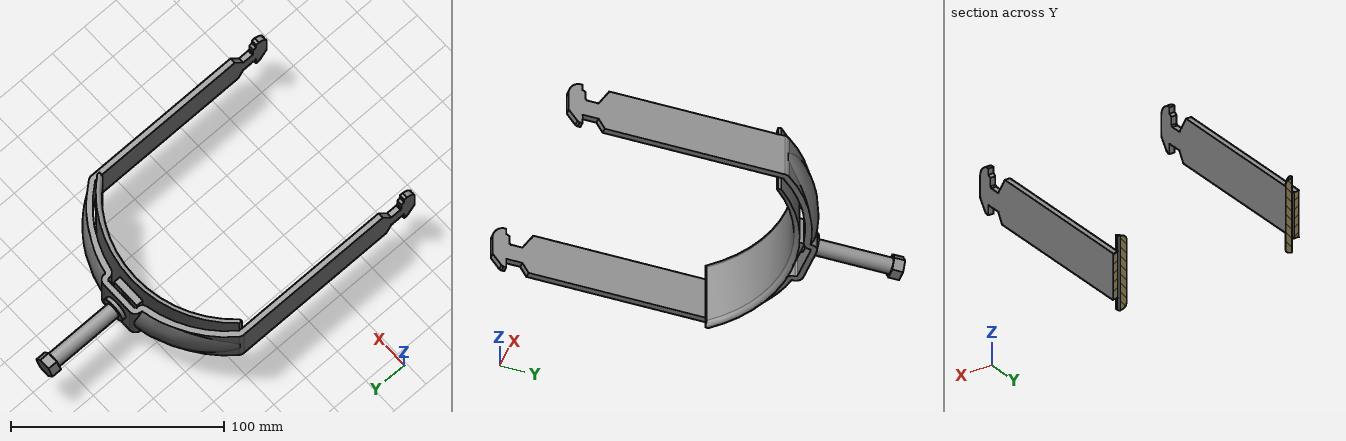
import math

import cadquery as cq

STRAP_WIDTH = 25.0
STRAP_THICKNESS = 3.0
STRAP_SPAN = 107.0
LEG_LENGTH = 140.0
CROWN_HALF = 12.8
CROWN_BEND_RADIUS = 3.8
STEP_FOOT_RADIUS = 0.7
LEG_BEND_RADIUS = 4.0
HAUNCH_RADIUS = 66.0
HAUNCH_TOP = -3.5
COLLAR_DIAMETER = 13.0
COLLAR_HEIGHT = 2.2

BULGE_CROWN_END = (9.8, -0.6)
BULGE_LEG_END = (53.1, -30.2)
BULGE_RISE = 6.1
BULGE_CROSS_RADIUS = 27.5

NECK_DEPTH = 14.8
HOOK_DEPTH = 6.8
UPPER_SHOULDER_DEPTH = 20.2
LOWER_SHOULDER_DEPTH = 17.9
NECK_TOP = 3.0
NECK_BOTTOM = -7.0
STEP_DEPTH = 8.4
STEP_TOP = 8.2
STEP_SLOPE_TOP = 9.2
STEP_CORNER_CUT = 0.7
HOOK_TOP_FLAT_DEPTH = 5.0
HOOK_TOP_RADIUS = 7.8
HOOK_BOTTOM_FLAT_DEPTH = 5.4
HOOK_BOTTOM_CORNER = (4.3, -11.9)
TIP_BOTTOM = -6.0

BOLT_DIAMETER = 8.0
BOLT_HEAD_TOP = 45.5
BOLT_HEAD_HEIGHT = 5.4
BOLT_HEAD_FLATS = 10.0
BLOCK_SIDE = 16.0
BLOCK_TOP = -5.6
SADDLE_APEX = -9.4
SADDLE_WIDTH = 40.0
SADDLE_OFFSET_Z = 0.5
SADDLE_THICKNESS = 2.75
SADDLE_OUTER_RADIUS = 65.5
SADDLE_SPAN = 100.0
SADDLE_DEPTH = 24.8
SADDLE_EDGE_RADIUS = 2.7


def haunch_point(x):
    """Point on the outer arc of the haunches."""
    drop = HAUNCH_RADIUS - math.sqrt(HAUNCH_RADIUS**2 - x**2)
    return (x, HAUNCH_TOP - drop)


def prism(outline, width):
    """Extrude an XY outline symmetrically about Z = 0."""
    return outline.extrude(width / 2, both=True)


def strap_outline():
    """Closed outer outline of the U, ending past the leg tips."""
    half_span = STRAP_SPAN / 2
    end_y = -LEG_LENGTH - 2 * STRAP_THICKNESS
    middle_x = (CROWN_HALF + half_span) / 2

    return (
        cq.Workplane("XY")
        .moveTo(-CROWN_HALF, 0)
        .lineTo(CROWN_HALF, 0)
        .lineTo(*haunch_point(CROWN_HALF))
        .threePointArc(haunch_point(middle_x), haunch_point(half_span))
        .lineTo(half_span, end_y)
        .lineTo(-half_span, end_y)
        .lineTo(*haunch_point(-half_span))
        .threePointArc(haunch_point(-middle_x), haunch_point(-CROWN_HALF))
        .close()
    )


def round_outline_corners(block):
    """Round the crown edges, the feet of the crown steps and the bends into the legs."""
    for side in (-1, 1):
        for (x, y), radius in (
            ((CROWN_HALF, 0), CROWN_BEND_RADIUS),
            (haunch_point(CROWN_HALF), STEP_FOOT_RADIUS),
            (haunch_point(STRAP_SPAN / 2), LEG_BEND_RADIUS),
        ):
            corner = cq.selectors.NearestToPointSelector((side * x, y, 0))
            block = block.edges("|Z").edges(corner).fillet(radius)
    return block


def bulge():
    """Barrel swept by an arc turning about an axis parallel to its chord."""
    start = cq.Vector(*BULGE_CROWN_END)
    end = cq.Vector(*BULGE_LEG_END)
    along = (end - start).normalized()
    outward = cq.Vector(-along.y, along.x)
    crest = (start + end) * 0.5 + outward * BULGE_RISE
    axis_depth = BULGE_CROSS_RADIUS - BULGE_RISE
    axis_start = start - outward * axis_depth
    axis_end = end - outward * axis_depth
    profile = (
        cq.Workplane("XY")
        .moveTo(axis_start.x, axis_start.y)
        .lineTo(start.x, start.y)
        .threePointArc((crest.x, crest.y), (end.x, end.y))
        .lineTo(axis_end.x, axis_end.y)
        .close()
    )
    barrel = profile.revolve(360, axis_start.toTuple(), axis_end.toTuple())
    slab = cq.Workplane("XY").box(4 * STRAP_SPAN, 4 * STRAP_SPAN, STRAP_WIDTH)
    return barrel.intersect(slab)


def leg_side_outline():
    """Side outline of a leg in YZ, from the crown to the hooked tip."""
    half_width = STRAP_WIDTH / 2
    tip_top = half_width - math.sqrt(HOOK_TOP_RADIUS**2 - (HOOK_TOP_RADIUS - HOOK_TOP_FLAT_DEPTH) ** 2)

    def at(depth, z):
        return (depth - LEG_LENGTH, z)

    return (
        cq.Workplane("YZ")
        .moveTo(COLLAR_HEIGHT, half_width)
        .lineTo(*at(UPPER_SHOULDER_DEPTH, half_width))
        .lineTo(*at(NECK_DEPTH, NECK_TOP))
        .lineTo(*at(STEP_DEPTH + STEP_CORNER_CUT, NECK_TOP))
        .lineTo(*at(STEP_DEPTH, NECK_TOP + STEP_CORNER_CUT))
        .lineTo(*at(STEP_DEPTH, STEP_TOP))
        .lineTo(*at(HOOK_DEPTH, STEP_SLOPE_TOP))
        .lineTo(*at(HOOK_DEPTH, half_width))
        .lineTo(*at(HOOK_TOP_FLAT_DEPTH, half_width))
        .radiusArc(at(0, tip_top), -HOOK_TOP_RADIUS)
        .lineTo(*at(0, TIP_BOTTOM))
        .lineTo(*at(*HOOK_BOTTOM_CORNER))
        .lineTo(*at(HOOK_BOTTOM_FLAT_DEPTH, -half_width))
        .lineTo(*at(HOOK_DEPTH, -half_width))
        .lineTo(*at(HOOK_DEPTH, NECK_BOTTOM))
        .lineTo(*at(NECK_DEPTH, NECK_BOTTOM))
        .lineTo(*at(LOWER_SHOULDER_DEPTH, -half_width))
        .lineTo(COLLAR_HEIGHT, -half_width)
        .close()
    )


def extrude_across(outline):
    """Extrude a YZ outline across the whole strap."""
    return outline.extrude(STRAP_SPAN, both=True)


def along_y(start_y):
    """Workplane square to the bolt axis, its extrusions running towards -Y."""
    return cq.Workplane("XZ", origin=(0, start_y, 0))


def make_strap():
    """Bent strap with its haunch bulges, hooked leg ends and the bolt collar on its crown."""
    block = round_outline_corners(prism(strap_outline(), STRAP_WIDTH))
    top_outline = cq.Workplane(block.faces(">Z").wires().val()).toPending()
    hollow = top_outline.offset2D(-STRAP_THICKNESS).extrude(-STRAP_WIDTH)
    right_bulge = bulge()
    strap = block.union(right_bulge).union(right_bulge.mirror("YZ")).cut(hollow)
    strap = strap.intersect(extrude_across(leg_side_outline()))
    collar = along_y(0).circle(COLLAR_DIAMETER / 2).extrude(-COLLAR_HEIGHT)
    hole_length = STRAP_THICKNESS + COLLAR_HEIGHT
    bolt_hole = along_y(-STRAP_THICKNESS).circle(BOLT_DIAMETER / 2).extrude(-hole_length)
    return strap.union(collar).cut(bolt_hole)


def make_bolt():
    """Hexagon-head bolt standing on the pressure block, with two head flats facing up and down."""
    head_bottom = BOLT_HEAD_TOP - BOLT_HEAD_HEIGHT
    head_corners = BOLT_HEAD_FLATS / math.cos(math.radians(30))
    shank = along_y(BLOCK_TOP).circle(BOLT_DIAMETER / 2).extrude(BLOCK_TOP - head_bottom)
    head = along_y(head_bottom).polygon(6, head_corners).extrude(-BOLT_HEAD_HEIGHT)
    return shank.union(head)


def make_block():
    """Square pressure block standing on the apex of the saddle."""
    return along_y(BLOCK_TOP).rect(BLOCK_SIDE, BLOCK_SIDE).extrude(BLOCK_TOP - SADDLE_APEX)


def make_saddle():
    """Arched plate with rounded inner long edges and its ends trimmed square to X and Y."""
    centre = cq.Workplane("XY", origin=(0, SADDLE_APEX - SADDLE_OUTER_RADIUS, 0))
    inner_radius = SADDLE_OUTER_RADIUS - SADDLE_THICKNESS
    ring = prism(centre.circle(SADDLE_OUTER_RADIUS).circle(inner_radius), SADDLE_WIDTH)
    inner_edges = cq.selectors.RadiusNthSelector(0)
    ring = ring.edges("%CIRCLE").edges(inner_edges).fillet(SADDLE_EDGE_RADIUS)
    trim_box = cq.Workplane("XY", origin=(0, SADDLE_APEX - SADDLE_DEPTH / 2, 0)).box(
        SADDLE_SPAN, SADDLE_DEPTH, SADDLE_WIDTH
    )
    return ring.intersect(trim_box).translate((0, 0, SADDLE_OFFSET_Z))


strap = make_strap()
bolt = make_bolt()
pressure_block = make_block()
saddle = make_saddle()

result = cq.Compound.makeCompound([strap.val(), bolt.val(), pressure_block.val(), saddle.val()])